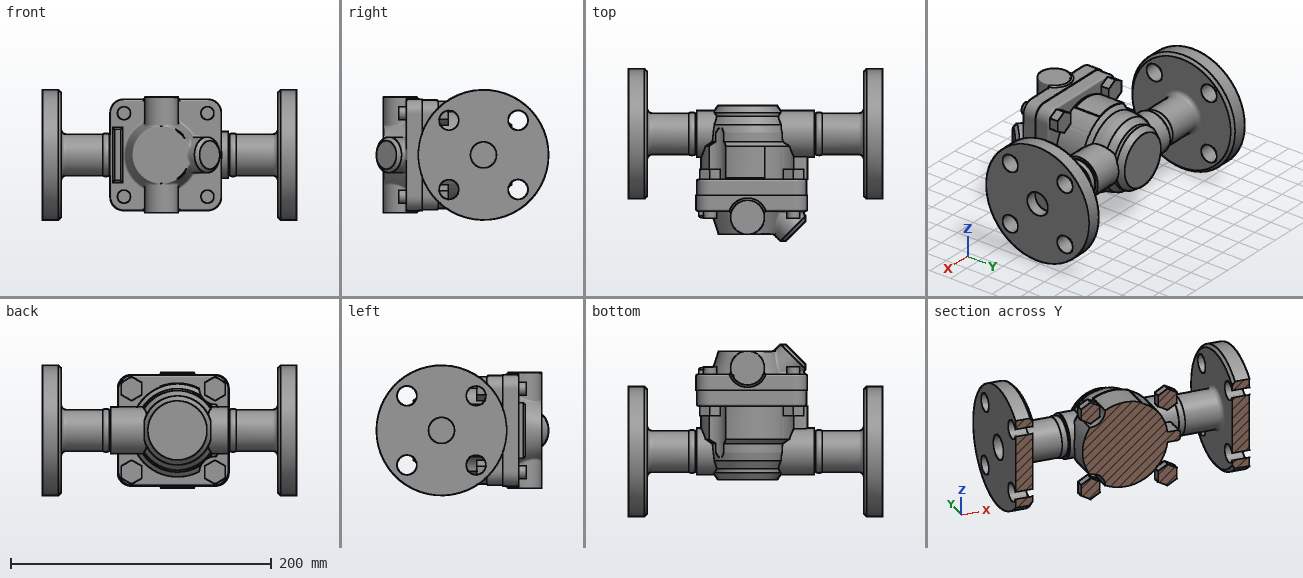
import cadquery as cq
import math

LENGTH = 195.0
FLANGE_D = 100.0
FLANGE_THICKNESS = 14.6
FLANGE_CHAMFER = 2.4
FLANGE_HOLE_D = 15.0
FLANGE_HOLE_CIRCLE_D = 75.0
BORE_D = 20.0
BORE_DEPTH = 10.0
PIPE_R = 16.0
PIPE_FILLET = 3.5
NECK_X = 45.2
NECK_R = 18.0
WELD_START_X = 46.2
WELD_END_X = 51.2
WELD_R = 16.6

BODY_X = -6.1
BACK_Y = 21.8
BACK_R = 22.7
BACK_RIM_Y = 16.4
BACK_RIM_R = 26.5
WAIST_Y = 13.4
FLARE_MID_Y = 7.2
FLARE_MID_R = 30.5
FLARE_Y = 0.9
FLARE_R = 32.0
SHOULDER_Y = -6.0
BASE_Y = -9.5
BASE_R = 35.7
PAD_R = 36.3
PAD_LEFT_X = -23.0
PAD_RIGHT_X = 7.2
PAD_END_Y = -33.5
RIB_END_X = 40.0
RIB_WIDTH = 9.0
RIB_EDGE_FILLET = 3.0

COVER_X = -2.9
BODY_PLATE_SIDE = 84.4
COVER_PLATE_SIDE = 85.5
PLATE_CORNER_R = 10.7
PLATE_EDGE_FILLET = 1.6
BODY_PLATE_Y = -34.8
JOINT_Y = -47.0
COVER_Y = -59.2
BOLT_SPACING = 64.0
BOLT_D = 10.0
BOLT_END_Y = -64.8
NUT_ACROSS_FLATS = 16.0
NUT_HEIGHT = 7.6
NUT_CLEARANCE_R = 12.0

DOME_Y = -77.0
DOME_BASE_R = 28.3
DOME_TOP_R = 22.3
DOME_EDGE_FILLET = 0.6
BOSS_R = 13.0
BOSS_Y = DOME_Y + BOSS_R
BOSS_LENGTH = 89.0
BOSS_EDGE_FILLET = 0.7
COLLAR_WIDTH = 1.8
COLLAR_HEIGHT = 1.0
COVER_BLEND_R = 1.8
BLEND_MARGIN = 0.1

PLUG_X = 30.8
PLUG_FACE_R = 10.9
PLUG_TIP_Y = -82.21
PLUG_Y = PLUG_TIP_Y + PLUG_FACE_R * math.sqrt(0.5)
PLUG_CHAMFER = 2.8
PLUG_R = PLUG_FACE_R + PLUG_CHAMFER
PLUG_LENGTH = 25.0

RAIL_X = -39.8
RAIL_WIDTH = 7.8
RAIL_LENGTH = 42.4
RAIL_Y = -64.3
RAIL_CHAMFER = 1.6


def y_plane(x, y):
    """Sketch plane facing -Y, with its origin on (x, y)."""
    return cq.Workplane("XZ", origin=(x, y, 0))


def pipe_line():
    """Right-hand half of the pipe line with its flange, mirrored to the left."""
    face_x = LENGTH / 2
    flange_x = face_x - FLANGE_THICKNESS
    flange_r = FLANGE_D / 2
    half = (
        cq.Workplane("XY")
        .moveTo(0, 0)
        .lineTo(0, NECK_R)
        .lineTo(NECK_X, NECK_R)
        .lineTo(NECK_X, PIPE_R)
        .lineTo(WELD_START_X, PIPE_R)
        .threePointArc(((WELD_START_X + WELD_END_X) / 2, WELD_R), (WELD_END_X, PIPE_R))
        .lineTo(flange_x - PIPE_FILLET, PIPE_R)
        .radiusArc((flange_x, PIPE_R + PIPE_FILLET), -PIPE_FILLET)
        .lineTo(flange_x, flange_r - FLANGE_CHAMFER)
        .lineTo(flange_x + FLANGE_CHAMFER, flange_r)
        .lineTo(face_x, flange_r)
        .lineTo(face_x, 0)
        .close()
        .revolve(360, (0, 0, 0), (1, 0, 0))
    )
    return half.union(half.mirror("YZ"))


def cut_flanges(part):
    """Bolt holes through both flanges and a blind bore in each end."""
    half_pitch = FLANGE_HOLE_CIRCLE_D / 2 * math.sqrt(0.5)
    for side in (-1, 1):
        end = cq.Workplane("YZ", origin=(side * LENGTH / 2, 0, 0))
        holes = (
            end.rect(2 * half_pitch, 2 * half_pitch, forConstruction=True)
            .vertices()
            .circle(FLANGE_HOLE_D / 2)
            .extrude(-side * FLANGE_THICKNESS)
        )
        bore = end.circle(BORE_D / 2).extrude(-side * BORE_DEPTH)
        part = part.cut(holes).cut(bore)
    return part


def valve_body():
    """Turned body, relieved around the four nuts."""
    body = (
        cq.Workplane("XY", origin=(BODY_X, 0, 0))
        .moveTo(0, BACK_Y)
        .lineTo(BACK_R, BACK_Y)
        .lineTo(BACK_RIM_R, BACK_RIM_Y)
        .lineTo(BACK_RIM_R, WAIST_Y)
        .lineTo(FLARE_MID_R, FLARE_MID_Y)
        .lineTo(FLARE_R, FLARE_Y)
        .lineTo(FLARE_R, SHOULDER_Y)
        .lineTo(BASE_R, BASE_Y)
        .lineTo(BASE_R, BODY_PLATE_Y)
        .lineTo(0, BODY_PLATE_Y)
        .close()
        .revolve(360, (0, 0, 0), (0, 1, 0))
    )
    clearance = bolt_points(BACK_Y).circle(NUT_CLEARANCE_R).extrude(BACK_Y - BODY_PLATE_Y)
    return body.union(name_pad()).cut(clearance)


def name_pad():
    """Slightly raised pad on the upper side of the body base."""
    pad_length = BASE_Y - PAD_END_Y
    ring = y_plane(BODY_X, BASE_Y).circle(PAD_R).extrude(pad_length)
    window = cq.Workplane("XY", origin=(PAD_LEFT_X, PAD_END_Y, 0)).box(
        PAD_RIGHT_X - PAD_LEFT_X, pad_length, PAD_R, centered=False
    )
    return ring.intersect(window)


def outlet_rib():
    """Rib between the outlet neck and the body plate."""
    rib_length = RIB_END_X - BODY_X
    return (
        y_plane(BODY_X + rib_length / 2, 0)
        .rect(rib_length, RIB_WIDTH)
        .extrude(-BODY_PLATE_Y)
        .edges("|Y and >X")
        .fillet(RIB_EDGE_FILLET)
    )


def bolt_points(y):
    """The four bolt centres on a plane facing -Y."""
    return y_plane(COVER_X, y).rect(BOLT_SPACING, BOLT_SPACING, forConstruction=True).vertices()


def plate(side, back_y, front_y):
    """Square plate with rounded corners between two Y positions."""
    block = y_plane(COVER_X, back_y).rect(side, side).extrude(back_y - front_y)
    return block.edges("|Y").fillet(PLATE_CORNER_R)


def body_plate():
    """Plate of the body, rounded along its rear rim."""
    return plate(BODY_PLATE_SIDE, BODY_PLATE_Y, JOINT_Y).faces(">Y").edges().fillet(PLATE_EDGE_FILLET)


def nuts():
    """Hexagon nuts behind the body plate, each with a corner towards +Z."""
    corner_d = NUT_ACROSS_FLATS / math.cos(math.pi / 6)
    corner_up = cq.Plane(origin=(COVER_X, BODY_PLATE_Y + NUT_HEIGHT, 0), xDir=(0, 0, 1), normal=(0, -1, 0))
    return (
        cq.Workplane(corner_up)
        .rect(BOLT_SPACING, BOLT_SPACING, forConstruction=True)
        .vertices()
        .polygon(6, corner_d)
        .extrude(NUT_HEIGHT)
    )


def bolt_ends():
    """Ends of the bolts standing out of the cover plate."""
    return bolt_points(COVER_Y).circle(BOLT_D / 2).extrude(COVER_Y - BOLT_END_Y)


def cover():
    """Cover plate with its dome and bosses blended into one another."""
    part = plate(COVER_PLATE_SIDE, JOINT_Y, COVER_Y).faces("<Y").edges().fillet(PLATE_EDGE_FILLET)
    part = part.union(vertical_boss()).union(dome()).union(plug_boss())
    foot_edges = part.edges(cover_box(COVER_Y - BLEND_MARGIN, COVER_Y + BLEND_MARGIN))
    side_edges = part.edges(cover_box(DOME_Y + DOME_EDGE_FILLET, COVER_Y - BLEND_MARGIN)).edges("%BSPLINE")
    part = foot_edges.add(side_edges).fillet(COVER_BLEND_R)
    return part.union(boss_collars())


def cover_box(front_y, back_y):
    """Selects edges centred between two Y positions and inside the rim of the cover plate."""
    reach = COVER_PLATE_SIDE / 2 - PLATE_CORNER_R / 2
    low = (COVER_X - reach, front_y, -reach)
    high = (COVER_X + reach, back_y, reach)
    return cq.selectors.BoxSelector(low, high)


def boss_collars():
    """Sloped collars where the vertical boss leaves the cover plate, above and below."""
    plate_z = COVER_PLATE_SIDE / 2
    collar = (
        cq.Workplane("XY", origin=(BODY_X, BOSS_Y, 0))
        .circle(BOSS_R + COLLAR_WIDTH)
        .extrude(plate_z + COLLAR_HEIGHT)
        .faces(">Z")
        .chamfer(COLLAR_HEIGHT, COLLAR_WIDTH)
    )
    behind_face = cq.Workplane("XY").box(LENGTH, JOINT_Y - COVER_Y, LENGTH)
    collar = collar.intersect(behind_face.translate((0, (JOINT_Y + COVER_Y) / 2, 0)))
    return collar.union(collar.mirror("XY"))


def dome():
    """Conical dome of the cover."""
    return (
        cq.Workplane("XY", origin=(BODY_X, 0, 0))
        .moveTo(0, JOINT_Y)
        .lineTo(DOME_BASE_R, JOINT_Y)
        .lineTo(DOME_BASE_R, COVER_Y)
        .lineTo(DOME_TOP_R, DOME_Y)
        .lineTo(0, DOME_Y)
        .close()
        .revolve(360, (0, 0, 0), (0, 1, 0))
        .faces("<Y")
        .edges()
        .fillet(DOME_EDGE_FILLET)
    )


def vertical_boss():
    """Solid boss running through the cover along Z."""
    return (
        cq.Workplane("XY", origin=(BODY_X, BOSS_Y, -BOSS_LENGTH / 2))
        .circle(BOSS_R)
        .extrude(BOSS_LENGTH)
        .edges("%CIRCLE")
        .fillet(BOSS_EDGE_FILLET)
    )


def plug_boss():
    """Chamfered plug boss leaning from the dome towards +X and -Y."""
    face = cq.Plane(origin=(PLUG_X, PLUG_Y, 0), xDir=(0, 0, 1), normal=(1, -1, 0))
    boss = cq.Workplane(face).circle(PLUG_R).extrude(-PLUG_LENGTH)
    tip = cq.selectors.DirectionMinMaxSelector(cq.Vector(1, -1, 0), True)
    return boss.faces(tip).chamfer(PLUG_CHAMFER)


def label_rail():
    """Chamfered rail standing upright on the cover plate."""
    return (
        y_plane(RAIL_X, COVER_Y)
        .rect(RAIL_WIDTH, RAIL_LENGTH)
        .extrude(COVER_Y - RAIL_Y)
        .faces("<Y")
        .chamfer(RAIL_CHAMFER)
    )


result = pipe_line()
for feature in (valve_body(), outlet_rib(), body_plate(), nuts(), cover(), bolt_ends(), label_rail()):
    result = result.union(feature)
result = cut_flanges(result)